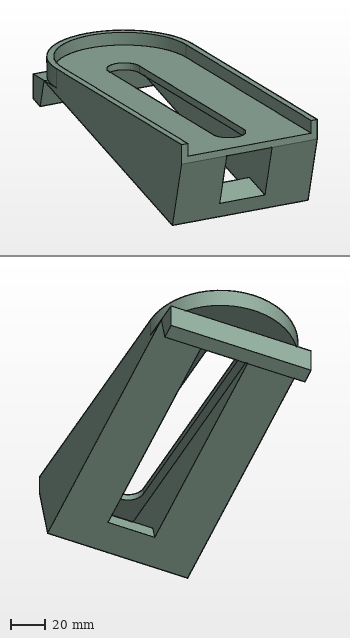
import cadquery as cq
import math

length = 195.0
width = 90.0
tray_height = 11.9
floor_thickness = 4.0
rim_width = 4.0
nose_radius = width / 2

slot_start = 35.0
slot_end = 179.8
slot_width = 20.0

tilt = math.radians(15)
wedge_tip_x = 30.2
web_thickness = 0.2
wedge_top_z = -tray_height - web_thickness
hook_front_x = 17.2
hook_depth = 18.0

channel_width = 30.0
bar_length = 19.3
bar_thickness = 9.5


def round_nosed_plate(radius, height, top_z):
    """Plate with a half-round nose of the given radius, running to the open end."""
    return (
        cq.Workplane("XY", origin=(0, 0, top_z - height))
        .moveTo(nose_radius, -radius)
        .lineTo(length, -radius)
        .lineTo(length, radius)
        .lineTo(nose_radius, radius)
        .threePointArc((nose_radius - radius, 0), (nose_radius, -radius))
        .close()
        .extrude(height)
    )


def side_profile(points, depth):
    """Extrude an XZ outline symmetrically about the middle plane."""
    return cq.Workplane("XZ").polyline(points).close().extrude(depth / 2, both=True)


def inclined_point(along, up):
    """XZ point measured along the wedge's sloping underside and square to it."""
    x = wedge_tip_x + along * math.cos(tilt) + up * math.sin(tilt)
    z = wedge_top_z - along * math.sin(tilt) + up * math.cos(tilt)
    return (x, z)


wedge_tip = inclined_point(0, 0)
underside_length = (length - wedge_tip_x) * math.cos(tilt)
wedge_profile = [wedge_tip, inclined_point(underside_length, 0), (length, wedge_top_z)]

tray = round_nosed_plate(nose_radius, tray_height, 0)
recess = round_nosed_plate(nose_radius - rim_width, tray_height - floor_thickness, 0)

hook_rear = inclined_point(0, -hook_depth)
hook_bottom_run = hook_rear[0] - hook_front_x
hook_front_z = hook_rear[1] + hook_bottom_run * math.tan(tilt)
hook = side_profile([(hook_front_x, wedge_top_z), wedge_tip, hook_rear, (hook_front_x, hook_front_z)], width)

web_length = length - hook_front_x
web = (
    cq.Workplane("XY", origin=(hook_front_x, 0, wedge_top_z))
    .box(web_length, width, web_thickness, centered=(False, True, False))
)

wedge = side_profile(wedge_profile, width)
channel = side_profile(wedge_profile, channel_width)
bar_start = underside_length - bar_length
crossbar = side_profile(
    [
        inclined_point(bar_start, 0),
        inclined_point(underside_length, 0),
        inclined_point(underside_length, bar_thickness),
        inclined_point(bar_start, bar_thickness),
    ],
    channel_width,
)
wedge = wedge.cut(channel).union(crossbar)

slot = (
    cq.Workplane("XY", origin=((slot_start + slot_end) / 2, 0, wedge_top_z))
    .slot2D(slot_end - slot_start, slot_width)
    .extrude(web_thickness + floor_thickness)
)

result = tray.cut(recess).union(web).cut(slot).union(hook).union(wedge).clean()